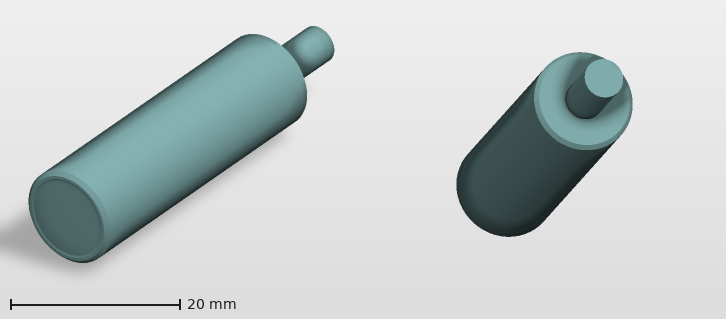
import cadquery as cq

total_length = 49.8
body_length = 40.0
body_diameter = 12.0
stem_diameter = 4.7
edge_chamfer = 0.5

recess_rim_diameter = 10.25
recess_floor_diameter = 9.75
recess_depth = 0.1

front_y = -total_length / 2
body_back_y = front_y + body_length
stem_back_y = front_y + total_length
body_radius = body_diameter / 2
stem_radius = stem_diameter / 2

profile = (
    cq.Workplane("XY")
    .moveTo(0, front_y + recess_depth)
    .lineTo(recess_floor_diameter / 2, front_y + recess_depth)
    .lineTo(recess_rim_diameter / 2, front_y)
    .lineTo(body_radius - edge_chamfer, front_y)
    .lineTo(body_radius, front_y + edge_chamfer)
    .lineTo(body_radius, body_back_y - edge_chamfer)
    .lineTo(body_radius - edge_chamfer, body_back_y)
    .lineTo(stem_radius, body_back_y)
    .lineTo(stem_radius, stem_back_y)
    .lineTo(0, stem_back_y)
    .close()
)

result = profile.revolve(360, (0, 0, 0), (0, 1, 0))